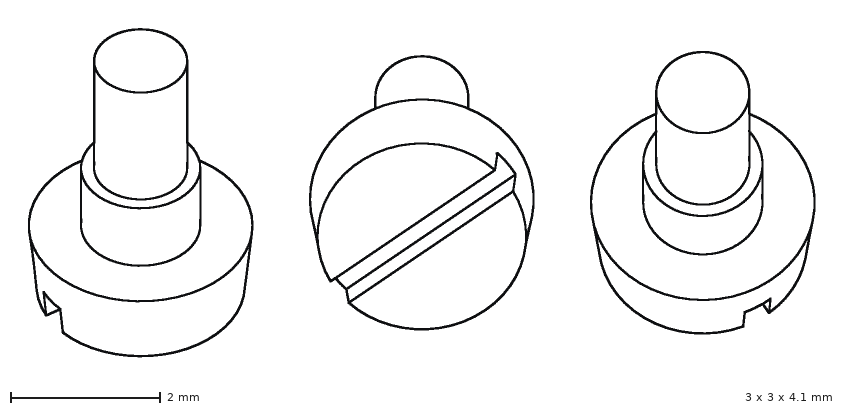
import cadquery as cq

total_height = 4.1
head_height = 1.1
shoulder_height = 1.05

head_top_diameter = 3.0
head_bottom_diameter = 2.795
shoulder_diameter = 1.6
shank_diameter = 1.25

slot_width = 0.4
slot_depth = 0.45


def make_head():
    """Straight-tapered head, widening upward, standing on Z = 0."""
    top_radius = head_top_diameter / 2
    bottom_radius = head_bottom_diameter / 2
    return (
        cq.Workplane("XZ")
        .lineTo(bottom_radius, 0)
        .lineTo(top_radius, head_height)
        .lineTo(0, head_height)
        .close()
        .revolve(360, (0, 0), (0, 1))
    )


def make_cylinder(diameter, bottom, top):
    """Upright cylinder on the Z axis between two heights."""
    return cq.Workplane("XY").workplane(offset=bottom).circle(diameter / 2).extrude(top - bottom)


shoulder_top = head_height + shoulder_height
shoulder = make_cylinder(shoulder_diameter, head_height, shoulder_top)
shank = make_cylinder(shank_diameter, shoulder_top, total_height)
slot = cq.Workplane("XY").rect(slot_width, head_top_diameter).extrude(slot_depth)

result = make_head().union(shoulder).union(shank).cut(slot)